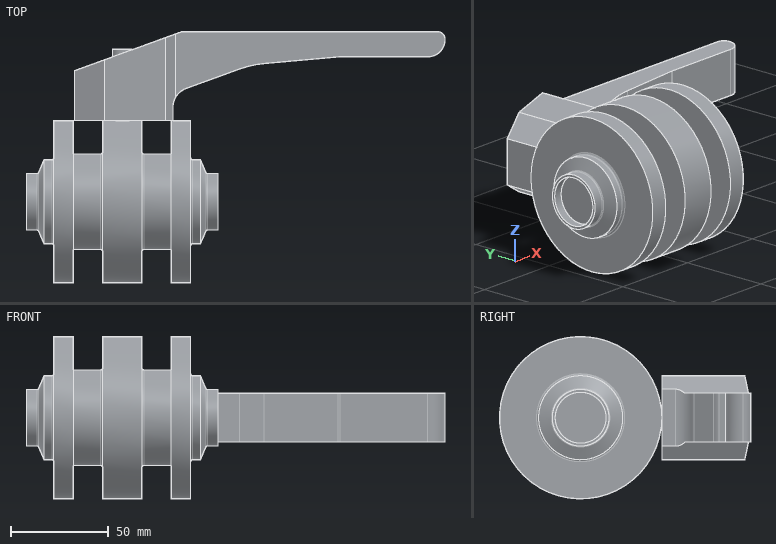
import cadquery as cq
import math

selection_margin = 0.1

disc_radius = 41.5
middle_disc_half_width = 10.0
side_disc_inner_x = 25.0
side_disc_outer_x = 35.0
core_radius = 24.5
core_fillet = 1.0
collar_radius = 21.5
collar_end_x = 40.0
collar_fillet = 1.0
shaft_radius = 14.5
shaft_end_x = 49.0
shaft_fillet = 0.7
cone_end_x = 43.0
recess_radius = 13.0
recess_depth = 5.0

stud_radius = 5.0
stud_top_y = 78.0

lever_bottom_y = disc_radius
lever_top_y = 87.0
lever_tip_x = 165.0
slope_angle = 20.0
slope_tan = math.tan(math.radians(slope_angle))
hub_left_x = -24.5
hub_right_x = 26.0
slope_top_x = 30.5
slope_bottom_y = lever_top_y - (slope_top_x - hub_left_x) * slope_tan
hub_fillet = 10.0
grip_thickness = 13.0
grip_bottom_y = lever_top_y - grip_thickness
grip_start_x = 110.7
grip_arc_radius = 10.0
bend_x = 66.0
bend_y = 70.0
bend_fillet = 50.0
shallow_angle = math.atan2(grip_bottom_y - bend_y, grip_start_x - bend_x)
grip_arc_tangent = grip_arc_radius * math.tan(shallow_angle / 2)
grip_arc_start_x = grip_start_x - grip_arc_tangent * math.cos(shallow_angle)
grip_arc_start_y = grip_bottom_y - grip_arc_tangent * math.sin(shallow_angle)
grip_arc_end_x = grip_start_x + grip_arc_tangent
hub_underside_y = bend_y - (bend_x - hub_right_x) * slope_tan
tip_upper_radius = 4.0
tip_lower_radius = grip_thickness - tip_upper_radius

arm_width = 25.0
hub_width = 43.0
hub_left_flat_x = -9.0
hub_right_flat_x = 22.0
hub_right_point_x = 27.2


def make_spool_end():
    """Right end of the turned spool, from the middle disc to the recessed shaft end."""
    outline = (
        cq.Workplane("XY")
        .moveTo(middle_disc_half_width, 0)
        .lineTo(middle_disc_half_width, core_radius + core_fillet)
        .radiusArc((middle_disc_half_width + core_fillet, core_radius), -core_fillet)
        .lineTo(side_disc_inner_x, core_radius)
        .lineTo(side_disc_inner_x, disc_radius)
        .lineTo(side_disc_outer_x, disc_radius)
        .lineTo(side_disc_outer_x, collar_radius + collar_fillet)
        .radiusArc((side_disc_outer_x + collar_fillet, collar_radius), -collar_fillet)
        .lineTo(collar_end_x, collar_radius)
        .lineTo(cone_end_x, shaft_radius)
        .lineTo(shaft_end_x, shaft_radius)
        .lineTo(shaft_end_x, recess_radius)
        .lineTo(shaft_end_x - recess_depth, recess_radius)
        .lineTo(shaft_end_x - recess_depth, 0)
        .close()
    )
    spool_end = outline.revolve(360, (0, 0, 0), (1, 0, 0))
    shaft_root = cq.selectors.BoxSelector(
        (cone_end_x - selection_margin, -disc_radius, -disc_radius),
        (cone_end_x + selection_margin, disc_radius, disc_radius),
    )
    return spool_end.edges(shaft_root).fillet(shaft_fillet)


def make_stud():
    """Upright stud, rooted on the spool axis."""
    return cq.Workplane("XZ").circle(stud_radius).extrude(-stud_top_y)


def make_spool():
    """Middle disc, two mirrored ends and the stud, as one body."""
    middle_disc = (
        cq.Workplane("YZ")
        .circle(disc_radius)
        .extrude(middle_disc_half_width, both=True)
    )
    right_end = make_spool_end()
    left_end = right_end.mirror("YZ")
    return middle_disc.union(right_end).union(left_end).union(make_stud()).solids()


def make_lever_profile(width):
    """The whole lever outline with its underside corners rounded, extruded to a width centred on Z = 0."""
    profile = (
        cq.Workplane("XY")
        .moveTo(hub_left_x, lever_bottom_y)
        .lineTo(hub_right_x, lever_bottom_y)
        .lineTo(hub_right_x, hub_underside_y)
        .lineTo(bend_x, bend_y)
        .lineTo(grip_arc_start_x, grip_arc_start_y)
        .radiusArc((grip_arc_end_x, grip_bottom_y), grip_arc_radius)
        .lineTo(lever_tip_x - tip_lower_radius, grip_bottom_y)
        .radiusArc((lever_tip_x, grip_bottom_y + tip_lower_radius), -tip_lower_radius)
        .radiusArc((lever_tip_x - tip_upper_radius, lever_top_y), -tip_upper_radius)
        .lineTo(slope_top_x, lever_top_y)
        .lineTo(hub_left_x, slope_bottom_y)
        .close()
        .extrude(width / 2, both=True)
    )
    underside_corners = [
        (hub_right_x, hub_underside_y, hub_fillet),
        (bend_x, bend_y, bend_fillet),
    ]
    for x, y, radius in underside_corners:
        corner = cq.selectors.BoxSelector(
            (x - selection_margin, y - selection_margin, -width),
            (x + selection_margin, y + selection_margin, width),
        )
        profile = profile.edges("|Z").edges(corner).fillet(radius)
    return profile


def make_hub_block():
    """Six-sided column whose ends taper from the hub width to the arm width."""
    half_arm = arm_width / 2
    half_hub = hub_width / 2
    return (
        cq.Workplane("XZ")
        .polyline([
            (hub_left_x, -half_arm),
            (hub_left_flat_x, -half_hub),
            (hub_right_flat_x, -half_hub),
            (hub_right_point_x, -half_arm),
            (hub_right_point_x, half_arm),
            (hub_right_flat_x, half_hub),
            (hub_left_flat_x, half_hub),
            (hub_left_x, half_arm),
        ])
        .close()
        .extrude(-lever_top_y)
    )


def make_lever():
    """Narrow arm and wider hub, bored to fit the stud."""
    arm = make_lever_profile(arm_width)
    hub = make_lever_profile(hub_width).intersect(make_hub_block())
    return arm.union(hub).cut(make_stud()).solids()


spool = make_spool()
lever = make_lever()
result = cq.Compound.makeCompound([spool.val(), lever.val()])